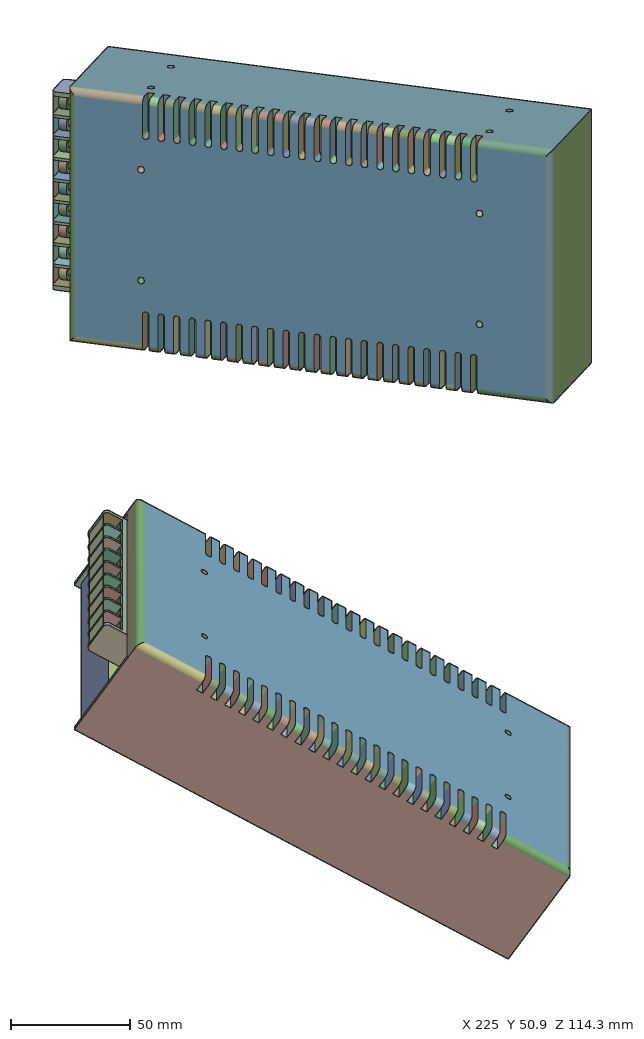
import cadquery as cq
import math

total_length = 225.0
case_depth = 50.9
case_height = 114.3
case_length = 214.5
case_left = total_length - case_length
sheet = 2.0
bend_radius = 3.0

flange_width = 9.2
panel_edge = 27.2
bay_front = 10.0
bay_depth = 9.7
bay_floor = case_left + bay_depth

slot_count = 22
slot_first = 45.0
slot_span = 145.5
slot_pitch = slot_span / (slot_count - 1)
slot_width = 3.0
slot_length = 18.2
slot_depth = 7.0

hole_diameter = 3.0
hole_depth = 5.6
drill_point_angle = 118
hole_first = 43.0
hole_pitch_x = 150.0
front_hole_pitch = 50.0
side_hole_pitch = 25.0

cell_count = 9
cell_height = 8.3
end_wall = 2.0
block_front = 9.5
block_width = 15.0
block_center = block_front + block_width / 2
block_bottom = 19.0
block_height = 89.3
block_radius = 2.0
cell_pitch = (block_height - 2 * end_wall - cell_height) / (cell_count - 1)
cell_floor = 8.3
cover_thickness = 0.2
cover_width = block_width - 2 * block_radius
washer_width = 12.4
washer_thickness = 0.2

screw_head_start = 1.5
screw_head_length = 3.8
screw_head_diameter = 7.9
screw_head_rounding = 1.0
screw_shank_diameter = 4.0

trimmer_size = 9.2
trimmer_bottom = 9.2
trimmer_height = 4.0
trimmer_dial_diameter = 4.0
trimmer_dial_depth = 1.0


def block(x, y, z, length, width, height):
    """Rectangular block placed by its lowest corner."""
    return cq.Workplane("XY").box(length, width, height, centered=False).translate((x, y, z))


def cylinder_x(x, y, z, diameter, length):
    """Cylinder starting at (x, y, z) and running towards +X."""
    return cq.Workplane("YZ", origin=(x, y, z)).circle(diameter / 2).extrude(length)


def make_case():
    case = block(case_left, 0, 0, case_length, case_depth, case_height)
    case = case.faces("<Y").edges().fillet(bend_radius)
    inner_height = case_height - 2 * sheet

    opening_width = case_depth - flange_width
    opening = block(case_left, flange_width, sheet, sheet, opening_width, inner_height)
    bay = block(case_left, bay_front, sheet, bay_depth, panel_edge - bay_front, inner_height)

    panel_x = case_left + sheet
    bend_start = case_depth - bend_radius
    bend_corner = block(panel_x, bend_start, sheet, bend_radius, bend_radius, inner_height)
    bend = (
        cq.Workplane("XY", origin=(panel_x + bend_radius, bend_start, sheet))
        .circle(bend_radius)
        .extrude(inner_height)
    )
    return case.cut(opening).cut(bay).cut(bend_corner.cut(bend))


def make_slots():
    """Slots open at the top and bottom of the case, with rounded inner ends."""
    straight = slot_length - slot_width / 2
    slots = cq.Workplane("XY")
    for i in range(slot_count):
        x = slot_first + i * slot_pitch
        for open_end, round_center in ((0, straight), (case_height, case_height - straight)):
            low = min(open_end, round_center)
            slots = slots.add(block(x - slot_width / 2, 0, low, slot_width, slot_depth, straight))
            slots = slots.add(
                cq.Workplane("XZ", origin=(x, 0, round_center))
                .circle(slot_width / 2)
                .extrude(-slot_depth)
            )
    return slots.combine()


def drilled_hole(position, direction):
    """Blind hole with a conical drill point."""
    radius = hole_diameter / 2
    point = radius / math.tan(math.radians(drill_point_angle / 2))
    start = cq.Vector(*position)
    axis = cq.Vector(*direction)
    bore = cq.Solid.makeCylinder(radius, hole_depth, start, axis)
    tip = cq.Solid.makeCone(radius, 0, point, start + axis * hole_depth, axis)
    return bore.fuse(tip)


def make_mounting_holes():
    holes = cq.Workplane("XY")
    for x in (hole_first, hole_first + hole_pitch_x):
        for side in (-0.5, 0.5):
            z = case_height / 2 + side * front_hole_pitch
            y = case_depth / 2 + side * side_hole_pitch
            holes = holes.add(drilled_hole((x, 0, z), (0, 1, 0)))
            holes = holes.add(drilled_hole((x, y, case_height), (0, 0, -1)))
    return holes.combine()


def make_screw(z):
    head = cylinder_x(screw_head_start, block_center, z, screw_head_diameter, screw_head_length)
    head = head.faces("<X").edges().fillet(screw_head_rounding)
    shank_start = screw_head_start + screw_head_length
    shank_length = cell_floor - shank_start
    return head.union(cylinder_x(shank_start, block_center, z, screw_shank_diameter, shank_length))


def make_terminal_block():
    """Row of cells open to the front and back, each with a screw behind a thin cover."""
    body = block(0, block_front, block_bottom, bay_floor, block_width, block_height)
    body = body.faces("<X").edges("|Z").fillet(block_radius)
    for i in range(cell_count):
        z = block_bottom + end_wall + i * cell_pitch
        body = body.cut(block(0, block_front, z, cell_floor, block_width, cell_height))
        cover_front = block_center - cover_width / 2
        body = body.union(block(0, cover_front, z, cover_thickness, cover_width, cell_height))
        washer_front = block_center - washer_width / 2
        washer_x = cell_floor - washer_thickness
        body = body.union(block(washer_x, washer_front, z, washer_thickness, washer_width, cell_height))
        body = body.union(make_screw(z + cell_height / 2))
    return body


def make_trimmer():
    face_x = bay_floor - trimmer_height
    body = block(face_x, flange_width, trimmer_bottom, trimmer_height, trimmer_size, trimmer_size)
    dial_y = flange_width + trimmer_size / 2
    dial_z = trimmer_bottom + trimmer_size / 2
    return body.cut(cylinder_x(face_x, dial_y, dial_z, trimmer_dial_diameter, trimmer_dial_depth))


result = (
    make_case()
    .cut(make_slots())
    .cut(make_mounting_holes())
    .union(make_terminal_block())
    .union(make_trimmer())
)